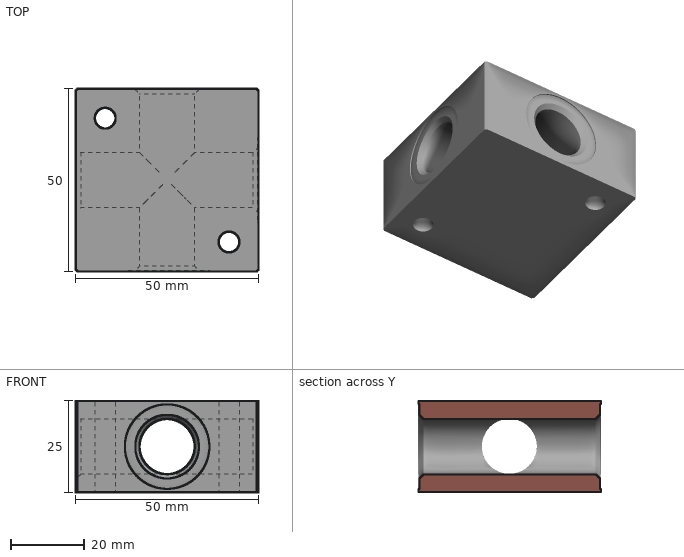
import cadquery as cq

side = 50.0
height = 25.0
corner_chamfer = 0.6

bore_diameter = 15.0
countersink_diameter = 17.4
countersink_depth = 1.2
spotface_diameter = 23.1
spotface_depth = 0.3

mounting_diameter = 5.6
mounting_offset = 16.9


def port_cutter():
    """Port along +Z from the block centre, with its mouth at half the side length."""
    seat = side / 2 - spotface_depth
    profile = [
        (0, 0),
        (bore_diameter / 2, 0),
        (bore_diameter / 2, seat - countersink_depth),
        (countersink_diameter / 2, seat),
        (spotface_diameter / 2, seat),
        (spotface_diameter / 2, side / 2),
        (0, side / 2),
    ]
    axis_start = (0, 0)
    axis_end = (0, 1)
    port = cq.Workplane("XZ").polyline(profile).close()
    return port.revolve(360, axis_start, axis_end)


block = cq.Workplane("XY").box(side, side, height)
block = block.edges("|Z").chamfer(corner_chamfer)

side_port = port_cutter().rotate((0, 0, 0), (0, 1, 0), 90)
for angle in (0, 90, 180, 270):
    block = block.cut(side_port.rotate((0, 0, 0), (0, 0, 1), angle))

mounting_centers = [
    (-mounting_offset, mounting_offset),
    (mounting_offset, -mounting_offset),
]
result = (
    block.faces(">Z")
    .workplane(origin=(0, 0, height / 2))
    .pushPoints(mounting_centers)
    .hole(mounting_diameter)
)